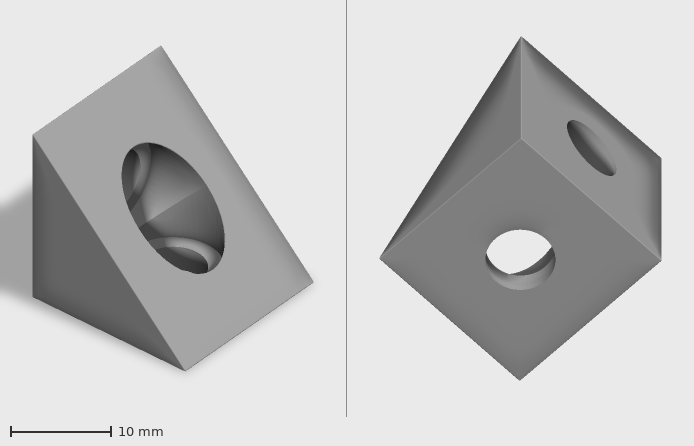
import cadquery as cq
import math

width = 20.0
rounded_leg = 19.95
edge_radius = 0.1
bore_diameter = 7.0
counterbore_diameter = 10.3
bore_center = 10.0
wall = 2.8

sharp_leg = rounded_leg + math.sqrt(2) * edge_radius


def make_wedge():
    """Right-angled wedge, square corner at the origin, centred on Y, all edges rounded."""
    profile = [(0, 0), (sharp_leg, 0), (0, sharp_leg)]
    wedge = cq.Workplane("XZ").polyline(profile).close().extrude(width / 2, both=True)
    return wedge.edges().fillet(edge_radius)


def make_stepped_hole(plane, center):
    """Bore through the leg wall, widening to a counterbore towards the slope."""
    bore = cq.Workplane(plane).center(*center).circle(bore_diameter / 2).extrude(sharp_leg)
    seat = cq.Workplane(plane).workplane(offset=wall).center(*center)
    counterbore = seat.circle(counterbore_diameter / 2).extrude(sharp_leg - wall)
    return bore.union(counterbore)


vertical_hole = make_stepped_hole("XY", (bore_center, 0))
horizontal_hole = make_stepped_hole("YZ", (0, bore_center))

result = make_wedge().cut(vertical_hole).cut(horizontal_hole)